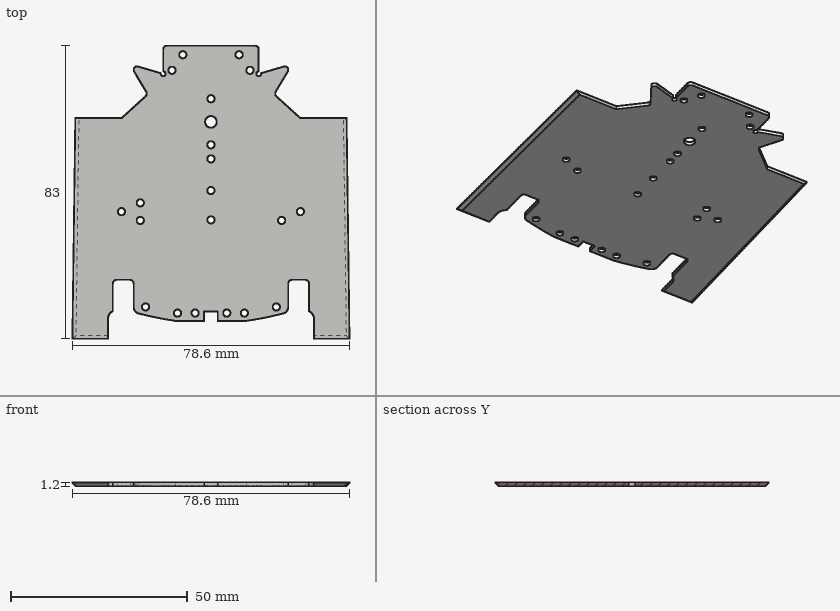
import cadquery as cq
import math

length = 83.0
thickness = 1.2
bevel = 1.0

rear_half_width = 39.3
wing_half_width = 38.4
wing_y = 62.6
leg_inner_x = 29.1
leg_relief_radius = 2.5
leg_relief_y = 5.65

slot_outer_x = 27.7
slot_inner_x = 21.9
slot_top_y = 16.7

tail_y = 5.1
tail_flat_half_width = 10.05
tail_corner_y = 7.55
tail_arc_radius = 99.6
body_corner_radius = 2.0
notch_half_width = 1.9
notch_top_y = 7.7

head_half_width = 13.5
ear_root_y = 75.0
ear_tip_x = 23.1
ear_tip_y = 77.85
neck_x = 17.9
neck_y = 69.2
neck_base_x = 25.2
ear_relief_radius = 0.7
corner_radius = 1.0

hole_diameter = 2.0
large_hole_diameter = 3.2
large_hole_y = 61.4
centre_hole_ys = (33.7, 42.0, 51.0, 54.95, 68.0)
paired_holes = (
    (8.0, 80.4),
    (11.0, 76.0),
    (20.0, 33.5),
    (25.3, 36.0),
    (18.5, 9.05),
    (9.5, 7.3),
    (4.5, 7.3),
)
single_hole = (-20.0, 38.5)


def half_blank():
    """Right half of the plate with sharp corners."""
    relief_centre_x = leg_inner_x - leg_relief_radius
    relief_angle = math.acos((slot_outer_x - relief_centre_x) / leg_relief_radius)

    def relief_point(angle):
        return (
            relief_centre_x + leg_relief_radius * math.cos(angle),
            leg_relief_y + leg_relief_radius * math.sin(angle),
        )

    return (
        cq.Workplane("XY")
        .moveTo(0, length)
        .lineTo(head_half_width, length)
        .lineTo(head_half_width, ear_root_y)
        .lineTo(ear_tip_x, ear_tip_y)
        .lineTo(neck_x, neck_y)
        .lineTo(neck_base_x, wing_y)
        .lineTo(wing_half_width, wing_y)
        .lineTo(rear_half_width, 0)
        .lineTo(leg_inner_x, 0)
        .lineTo(leg_inner_x, leg_relief_y)
        .threePointArc(relief_point(relief_angle / 2), relief_point(relief_angle))
        .lineTo(slot_outer_x, slot_top_y)
        .lineTo(slot_inner_x, slot_top_y)
        .lineTo(slot_inner_x, tail_corner_y)
        .radiusArc((tail_flat_half_width, tail_y), tail_arc_radius)
        .lineTo(notch_half_width, tail_y)
        .lineTo(notch_half_width, notch_top_y)
        .lineTo(0, notch_top_y)
        .close()
        .extrude(thickness)
    )


def round_corner(plate, x, y, radius):
    """Round the upright edge of the plate that stands at (x, y)."""
    corner = cq.selectors.NearestToPointSelector((x, y, thickness / 2))
    return plate.edges("|Z").edges(corner).fillet(radius)


def bevel_outer_edges(plate):
    """Undercut the slanted side and the end of the leg from below."""
    side_middle = ((wing_half_width + rear_half_width) / 2, wing_y / 2, 0)
    leg_end_middle = ((leg_inner_x + rear_half_width) / 2, 0, 0)
    side = cq.selectors.NearestToPointSelector(side_middle)
    leg_end = cq.selectors.NearestToPointSelector(leg_end_middle)
    return plate.faces("<Z").edges(side + leg_end).chamfer(bevel)


def drill(plate, points, diameter):
    cutter = cq.Workplane("XY").pushPoints(points).circle(diameter / 2).extrude(thickness)
    return plate.cut(cutter)


half = half_blank()
for x, y, radius in (
    (head_half_width, length, corner_radius),
    (ear_tip_x, ear_tip_y, corner_radius),
    (neck_x, neck_y, corner_radius),
    (slot_outer_x, slot_top_y, corner_radius),
    (slot_inner_x, slot_top_y, corner_radius),
    (slot_inner_x, tail_corner_y, body_corner_radius),
):
    half = round_corner(half, x, y, radius)
half = bevel_outer_edges(half)
half = drill(half, [(head_half_width, ear_root_y)], 2 * ear_relief_radius)
half = drill(half, paired_holes, hole_diameter)

plate = half.union(half.mirror("YZ")).clean()
plate = drill(plate, [(0, y) for y in centre_hole_ys], hole_diameter)
plate = drill(plate, [single_hole], hole_diameter)
plate = drill(plate, [(0, large_hole_y)], large_hole_diameter)

result = plate